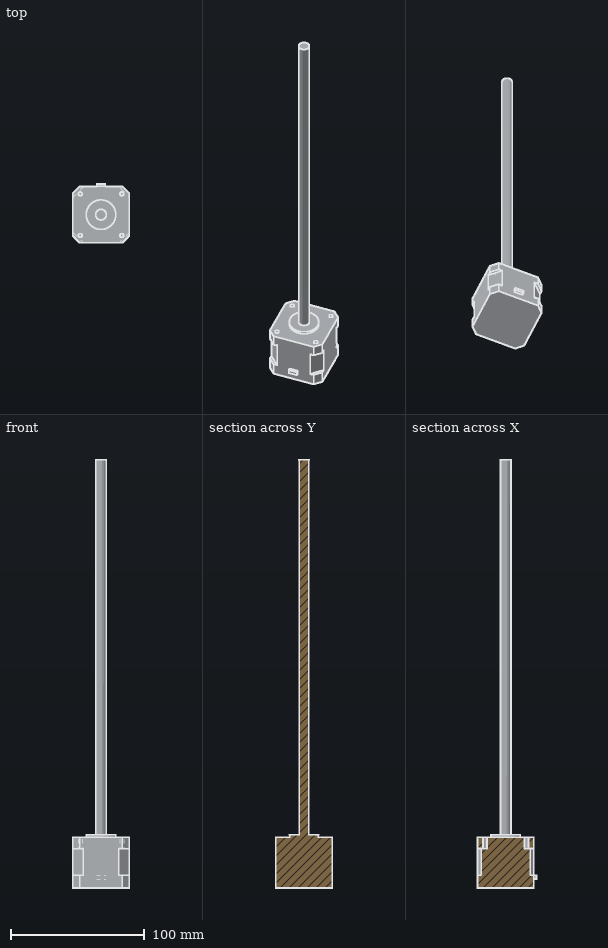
import cadquery as cq

total_height = 320.0
body_width = 42.2
cap_chamfer = 5.0
core_chamfer = 8.0
bottom_cap_height = 9.5
core_height = 20.0
top_cap_height = 8.5
pilot_diameter = 22.0
pilot_height = 2.0
shaft_diameter = 8.0
hole_spacing = 31.0
hole_diameter = 3.0
hole_depth = top_cap_height
connector_width = 6.7
connector_height = 3.0
connector_reach = 2.0

core_base = bottom_cap_height
top_cap_base = core_base + core_height
body_top = top_cap_base + top_cap_height


def chamfered_block(base, height, chamfer):
    """Square motor section with its four upright edges chamfered."""
    block = cq.Workplane("XY").workplane(offset=base).rect(body_width, body_width).extrude(height)
    return block.edges("|Z").chamfer(chamfer)


def cylinder(base, height, diameter):
    """Upright cylinder on the motor axis."""
    return cq.Workplane("XY").workplane(offset=base).circle(diameter / 2).extrude(height)


bottom_cap = chamfered_block(0, bottom_cap_height, cap_chamfer)
core = chamfered_block(core_base, core_height, core_chamfer)
top_cap = chamfered_block(top_cap_base, top_cap_height, cap_chamfer)
body = bottom_cap.union(core).union(top_cap)

mounting_holes = (
    cq.Workplane("XY")
    .workplane(offset=body_top - hole_depth)
    .rect(hole_spacing, hole_spacing, forConstruction=True)
    .vertices()
    .circle(hole_diameter / 2)
    .extrude(hole_depth)
)
body = body.cut(mounting_holes)

connector = cq.Workplane("XY").box(
    connector_width, connector_reach, connector_height, centered=(True, False, False)
).translate((0, body_width / 2, bottom_cap_height - connector_height))

pilot = cylinder(body_top, pilot_height, pilot_diameter)
shaft = cylinder(body_top, total_height - body_top, shaft_diameter)

result = body.union(connector).union(pilot).union(shaft)